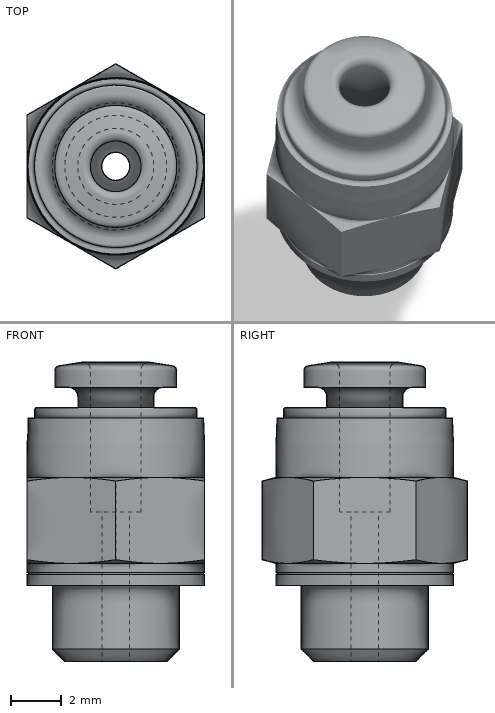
import cadquery as cq
import math

thread_diameter = 5.0
thread_top = 3.0
tip_chamfer = 0.5

body_diameter = 7.0
flange_top = 3.43
groove_top = 3.52
groove_diameter = 6.9

hex_bottom = 3.87
hex_top = 7.26
hex_across_flats = body_diameter
hex_corner_angle = 30
hex_across_corners = hex_across_flats / math.cos(math.radians(hex_corner_angle))
hex_chamfer_angle = 15

taper_bottom = 8.59
taper_top = 9.59
taper_top_diameter = 6.91
collar_top = 10.01
collar_diameter = 6.4
collar_fillet = 0.1

total_height = 11.8
neck_diameter = 3.0
neck_fillet = 0.35
cap_bottom = 10.8
cap_diameter = 4.8
cap_cone_drop = 0.18
cap_fillet = 0.2

tube_diameter = 2.0
tube_depth = 5.9
mouth_radius = 0.31
passage_diameter = 1.1


def cylinder(diameter, bottom, top):
    """Cylinder on the Z axis between two heights."""
    return cq.Workplane("XY").workplane(offset=bottom).circle(diameter / 2).extrude(top - bottom)


def revolve_profile(profile):
    """Revolve a closed XZ profile, with X as radius, about the Z axis."""
    return profile.close().revolve(360, (0, 0, 0), (0, 1, 0))


def make_lower_body():
    thread = cylinder(thread_diameter, 0, thread_top).faces("<Z").chamfer(tip_chamfer)
    flange = cylinder(body_diameter, thread_top, flange_top)
    groove = cylinder(groove_diameter, flange_top, groove_top)
    barrel = cylinder(body_diameter, groove_top, taper_bottom)
    return thread.union(flange).union(groove).union(barrel)


def make_hex():
    prism = (
        cq.Workplane("XY")
        .workplane(offset=hex_bottom)
        .polygon(6, hex_across_corners)
        .extrude(hex_top - hex_bottom)
        .rotate((0, 0, 0), (0, 0, 1), hex_corner_angle)
    )
    flat_radius = hex_across_flats / 2
    outer_radius = hex_across_corners
    drop = (outer_radius - flat_radius) * math.tan(math.radians(hex_chamfer_angle))
    trim = revolve_profile(
        cq.Workplane("XZ")
        .moveTo(0, hex_bottom)
        .lineTo(flat_radius, hex_bottom)
        .lineTo(outer_radius, hex_bottom + drop)
        .lineTo(outer_radius, hex_top - drop)
        .lineTo(flat_radius, hex_top)
        .lineTo(0, hex_top)
    )
    return prism.intersect(trim)


def make_shoulder():
    taper = revolve_profile(
        cq.Workplane("XZ")
        .moveTo(0, taper_bottom)
        .lineTo(body_diameter / 2, taper_bottom)
        .lineTo(taper_top_diameter / 2, taper_top)
        .lineTo(0, taper_top)
    )
    collar = cylinder(collar_diameter, taper_top, collar_top).faces(">Z").edges().fillet(collar_fillet)
    return taper.union(collar)


def make_button():
    neck_radius = neck_diameter / 2
    cap_radius = cap_diameter / 2
    mouth_edge_radius = tube_diameter / 2 + mouth_radius
    cap_corner_height = total_height - cap_cone_drop
    cap = revolve_profile(
        cq.Workplane("XZ")
        .moveTo(0, cap_bottom)
        .lineTo(cap_radius, cap_bottom)
        .lineTo(cap_radius, cap_corner_height)
        .lineTo(mouth_edge_radius, total_height)
        .lineTo(0, total_height)
    )
    rim = cq.selectors.BoxSelector(
        (-cap_diameter, -cap_diameter, cap_corner_height - cap_cone_drop / 2),
        (cap_diameter, cap_diameter, cap_corner_height + cap_cone_drop / 2),
        boundingbox=True,
    )
    cap = cap.edges(rim).fillet(cap_fillet)
    neck = revolve_profile(
        cq.Workplane("XZ")
        .moveTo(0, collar_top)
        .lineTo(neck_radius, collar_top)
        .lineTo(neck_radius, cap_bottom - neck_fillet)
        .radiusArc((neck_radius + neck_fillet, cap_bottom), neck_fillet)
        .lineTo(0, cap_bottom)
    )
    return neck.union(cap)


def make_hole():
    tube_radius = tube_diameter / 2
    tube_floor = total_height - tube_depth
    socket = revolve_profile(
        cq.Workplane("XZ")
        .moveTo(0, tube_floor)
        .lineTo(tube_radius, tube_floor)
        .lineTo(tube_radius, total_height - mouth_radius)
        .radiusArc((tube_radius + mouth_radius, total_height), mouth_radius)
        .lineTo(0, total_height)
    )
    return socket.union(cylinder(passage_diameter, 0, tube_floor))


outside = make_lower_body().union(make_hex()).union(make_shoulder()).union(make_button())
result = outside.cut(make_hole())